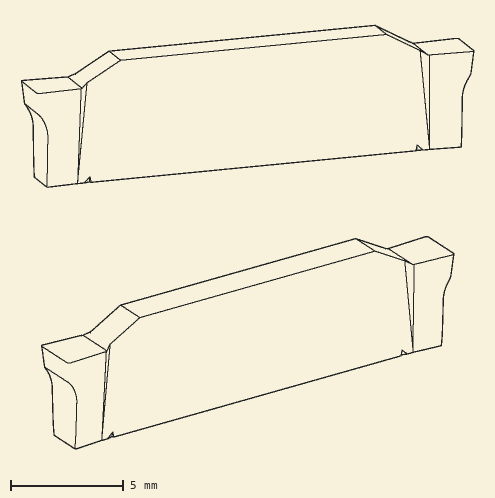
import cadquery as cq
import math

length = 20.65
height = 5.53
cutting_width = 2.25
half_length = length / 2

blade_half_width = 0.78
crest_half_length = 6.28
ramp_end_y = 8.03
ramp_end_z = 4.55
valley_y = 8.15
head_root_y = 7.43

head_top = 4.46
front_clearance = math.tan(math.radians(6.5))
base_front_half_width = 0.89
width_narrowing = 0.114
corner_radius = 0.12
top_shoulder_y = 8.22
base_shoulder_y = 8.3
neck_slope = math.tan(math.radians(34))

land_bottom = 3.43
relief_bottom = 2.44
relief_y = 9.79
relief_bulge = 0.06

chip_start_y = 7.66
chip_peak_y = 7.72
chip_end_y = 8.01
chip_height = 0.27
chip_depth = 0.08


def between(base_value, top_value, z):
    """Linear change from the base to the head top, continued above it."""
    return base_value + (top_value - base_value) * z / head_top


def front_y(z):
    return half_length - (head_top - z) * front_clearance


def head_section(z):
    """Plan outline of a head with rounded front corners and a tapering neck."""
    front = front_y(z)
    front_half = between(base_front_half_width, cutting_width / 2, z)
    back_half = front_half - width_narrowing
    shoulder_y = between(base_shoulder_y, top_shoulder_y, z)
    neck_y = shoulder_y - (back_half - blade_half_width) / neck_slope
    arc_inset = corner_radius * (1 - math.sqrt(0.5))
    return (
        cq.Workplane("XY", origin=(0, 0, z))
        .moveTo(-blade_half_width, head_root_y)
        .lineTo(blade_half_width, head_root_y)
        .lineTo(blade_half_width, neck_y)
        .lineTo(back_half, shoulder_y)
        .lineTo(front_half, front - corner_radius)
        .threePointArc((front_half - arc_inset, front - arc_inset), (front_half - corner_radius, front))
        .lineTo(corner_radius - front_half, front)
        .threePointArc((arc_inset - front_half, front - arc_inset), (-front_half, front - corner_radius))
        .lineTo(-back_half, shoulder_y)
        .lineTo(-blade_half_width, neck_y)
        .close()
        .val()
    )


def make_head():
    return cq.Workplane(cq.Solid.makeLoft([head_section(0), head_section(height)], True))


def make_side_profile():
    """Side outline, extruded across the part to trim the blade and heads."""
    land_y = front_y(land_bottom)
    relief_middle = ((land_y + relief_y) / 2 - relief_bulge, (land_bottom + relief_bottom) / 2 + relief_bulge)
    half = (
        cq.Workplane("YZ")
        .lineTo(relief_y, 0)
        .lineTo(relief_y, relief_bottom)
        .threePointArc(relief_middle, (land_y, land_bottom))
        .lineTo(half_length, head_top)
        .lineTo(valley_y, head_top)
        .lineTo(ramp_end_y, ramp_end_z)
        .lineTo(crest_half_length, height)
        .lineTo(0, height)
        .close()
        .extrude(cutting_width, both=True)
    )
    return half.union(half.mirror("XZ"))


def make_chip():
    """Tetrahedron that nicks one lower edge of the blade."""
    start = cq.Vector(blade_half_width, chip_start_y, 0)
    end = cq.Vector(blade_half_width, chip_end_y, 0)
    peak = cq.Vector(blade_half_width, chip_peak_y, chip_height)
    inner = cq.Vector(blade_half_width - chip_depth, chip_peak_y, 0)
    triangles = [(start, end, peak), (start, end, inner), (start, peak, inner), (end, peak, inner)]
    faces = [cq.Face.makeFromWires(cq.Wire.makePolygon(points, close=True)) for points in triangles]
    return cq.Workplane(cq.Solid.makeSolid(cq.Shell.makeShell(faces)))


blade = cq.Workplane("XY").box(
    2 * blade_half_width, 2 * head_root_y, height, centered=(True, True, False)
)
head = make_head()
result = blade.union(head).union(head.mirror("XZ")).intersect(make_side_profile())

chip = make_chip()
for edge_chip in (chip, chip.mirror("YZ")):
    result = result.cut(edge_chip).cut(edge_chip.mirror("XZ"))